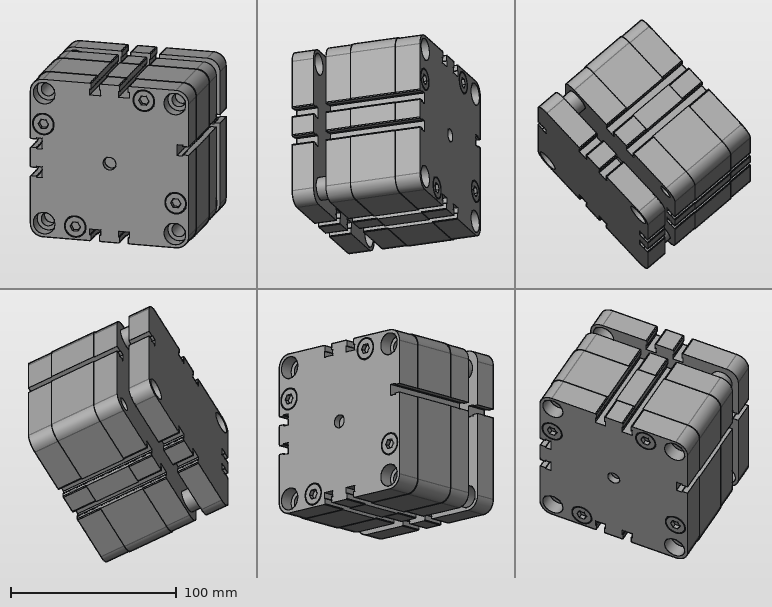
import cadquery as cq
import math

barrel_width = 100.0
end_width = 99.4
corner_radius = 8.0
cap_depth = 16.0
barrel_depth = 29.0
gap_depth = 8.0
plate_depth = 14.0
body_depth = 2 * cap_depth + barrel_depth
total_depth = body_depth + gap_depth + plate_depth

front_y = -total_depth / 2
barrel_y = front_y + cap_depth
rear_cap_y = barrel_y + barrel_depth
gap_y = front_y + body_depth
plate_y = gap_y + gap_depth

slot_offset = 9.0
single_slot_offset = 12.0
neck_width = 5.4
undercut_width = 6.8
undercut_start = 4.1
slot_floor = 7.7
mouth_width = undercut_width
mouth_depth = 0.4
overshoot = 1.0

hole_offset = 41.0
hole_diameter = 8.4
counterbore_diameter = 13.5
counterbore_depth = 8.6

screw_outer = 41.5
screw_inner = 21.5
head_diameter = 12.5
head_depth = 8.0
socket_flats = 5.5
socket_depth = 2.8

port_diameter = 8.0
port_depth = 4.3

rod_diameter = 20.0
rod_chamfer_length = 1.7
rod_chamfer_angle = 15.0
rod_flats = 17.0
flats_length = 5.8

pin_diameter = 14.0
pin_offset = 38.5


def cylinder(x, z, diameter, y_start, depth):
    """Cylinder along +Y, starting at y_start."""
    start = cq.Vector(x, y_start, z)
    return cq.Workplane(cq.Solid.makeCylinder(diameter / 2, depth, start, cq.Vector(0, 1, 0)))


def rounded_block(width, y_start, depth):
    """Square block with its four Y-direction edges rounded."""
    block = cq.Workplane("XY").box(width, depth, width)
    return block.edges("|Y").fillet(corner_radius).translate((0, y_start + depth / 2, 0))


def slot_cutter(offset, turn, y_start, depth, face, beveled):
    """T-slot in the +Z face at height face, turned about Y; beveled slopes its mouth edges."""
    neck = neck_width / 2
    undercut = undercut_width / 2
    outside = barrel_width / 2 + overshoot
    under = barrel_width / 2 - undercut_start
    floor = barrel_width / 2 - slot_floor
    half = [(undercut, floor), (undercut, under), (neck, under)]
    if beveled:
        half += [(neck, face - mouth_depth), (mouth_width / 2, face), (mouth_width / 2, outside)]
    else:
        half += [(neck, outside)]
    outline = half + [(-x, z) for x, z in reversed(half)]
    profile = cq.Workplane("XZ").polyline([(x + offset, z) for x, z in outline]).close()
    cutter = profile.extrude(-depth).translate((0, y_start, 0))
    return cutter.rotate((0, 0, 0), (0, 1, 0), turn)


top_turn = 0
bottom_turn = 180
left_turn = -90
right_turn = 90

paired_turns = (top_turn, bottom_turn, left_turn)
slots = [(side * slot_offset, turn) for turn in paired_turns for side in (-1, 1)]
slots.append((-single_slot_offset, right_turn))


def slotted_block(width, y_start, depth, beveled_turns):
    """Rounded block with every slot cut; those on the listed face turns get beveled mouths."""
    block = rounded_block(width, y_start, depth)
    for offset, turn in slots:
        block = block.cut(slot_cutter(offset, turn, y_start, depth, width / 2, turn in beveled_turns))
    return block


def cylinder_body():
    """Barrel between its two caps; only its -X slots have beveled mouths."""
    front_cap = slotted_block(end_width, front_y, cap_depth, paired_turns)
    barrel = slotted_block(barrel_width, barrel_y, barrel_depth, (left_turn,))
    rear_cap = slotted_block(end_width, rear_cap_y, cap_depth, paired_turns)
    return front_cap.union(barrel).union(rear_cap)


def cut_corner_holes(body):
    """Counterbored corner holes: through at two opposite corners, only in the cap at the others."""
    for x_side in (-1, 1):
        for z_side in (-1, 1):
            x, z = x_side * hole_offset, z_side * hole_offset
            passes_through = x_side != z_side
            depth = body_depth if passes_through else cap_depth
            body = body.cut(cylinder(x, z, counterbore_diameter, front_y, counterbore_depth))
            body = body.cut(cylinder(x, z, hole_diameter, front_y, depth))
    return body


def cut_screws(body):
    """Ring clearance and hexagonal socket for each flush screw head."""
    positions = [
        (-screw_outer, screw_inner),
        (screw_inner, screw_outer),
        (screw_outer, -screw_inner),
        (-screw_inner, -screw_outer),
    ]
    socket_corners = socket_flats / math.cos(math.pi / 6)
    socket = cq.Workplane("XZ").polygon(6, socket_corners).extrude(-socket_depth)
    for x, z in positions:
        pocket = cylinder(x, z, counterbore_diameter, front_y, head_depth)
        head = cylinder(x, z, head_diameter, front_y, head_depth)
        body = body.cut(pocket.cut(head)).cut(socket.translate((x, front_y, z)))
    return body


def piston_rod():
    """Rod across the gap, tapered at the plate end and flattened on both X sides."""
    radius = rod_diameter / 2
    tip_radius = radius - rod_chamfer_length * math.tan(math.radians(rod_chamfer_angle))
    outline = [
        (0, gap_y),
        (radius, gap_y),
        (radius, plate_y - rod_chamfer_length),
        (tip_radius, plate_y),
        (0, plate_y),
    ]
    rod = cq.Workplane("XY").polyline(outline).close().revolve(360, (0, 0, 0), (0, 1, 0))
    half_flats = rod_flats / 2
    flat_end = plate_y - flats_length
    run_out = radius - half_flats
    flat_outline = [
        (half_flats, plate_y),
        (half_flats, flat_end),
        (radius, flat_end - run_out),
        (radius, plate_y),
    ]
    flat = cq.Workplane("XY").polyline(flat_outline).close().extrude(radius, both=True)
    return rod.cut(flat).cut(flat.mirror("YZ"))


def guide_pins():
    """Two guide pins across the gap, at opposite corners."""
    pins = [cylinder(s * pin_offset, s * pin_offset, pin_diameter, gap_y, gap_depth) for s in (-1, 1)]
    return pins[0].union(pins[1])


def tool_plate():
    """Moving plate with clearance holes behind the two through corner holes."""
    plate = slotted_block(end_width, plate_y, plate_depth, paired_turns)
    for side in (-1, 1):
        x, z = side * hole_offset, -side * hole_offset
        plate = plate.cut(cylinder(x, z, counterbore_diameter, plate_y, plate_depth))
    return plate


body = cut_screws(cut_corner_holes(cylinder_body()))
body = body.cut(cylinder(0, 0, port_diameter, front_y, port_depth))
result = body.union(piston_rod()).union(guide_pins()).union(tool_plate())